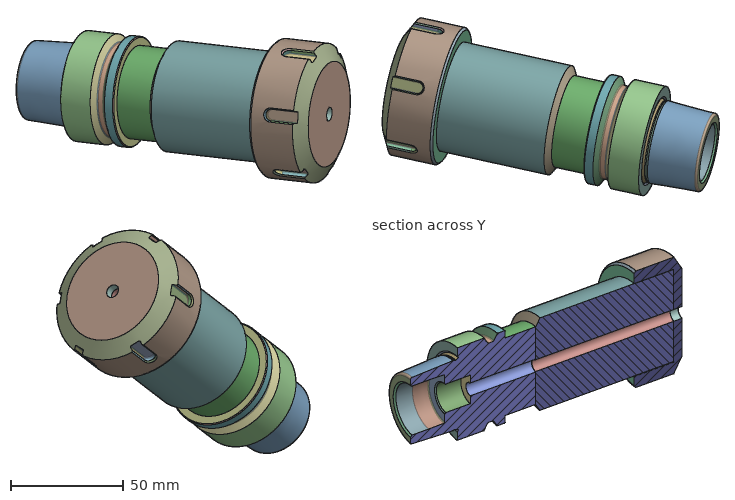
import cadquery as cq
import math


TAPER_END = 22.7
FLANGE_START = 25.0
GRIPPER_GROOVE_START = 39.4
GRIPPER_GROOVE_END = 46.4
FLANGE_END = 50.7
SHANK_END = 66.8
BODY_FULL_START = 69.1
NUT_START = 119.3
NUT_CONE_START = 140.5
NUT_END = 144.9

MAIN_RADIUS = 50.0 / 2
NECK_RADIUS = 21.0
COOLANT_RADIUS = 3.3
OUTLET_RADIUS = 3.0

TAPER_TIP_RADIUS = 18.0
TAPER_BASE_RADIUS = 19.0
TIP_ROUND = 1.0

UNDERCUT_RADIUS = 18.7
UNDERCUT_START = 23.6
UNDERCUT_END = 24.2
RECESS_DEPTH = 0.6
RECESS_FLOOR_RADIUS = 19.4
RECESS_RADIUS = 20.3

GROOVE_FLOOR_RADIUS = 21.5
GROOVE_FLANK_ANGLE = 60.0
GROOVE_FILLET = 0.6
FLANGE_CHAMFER = 0.5

BORE_RADIUS = 13.0
BORE_CHAMFER = 0.9
BORE_CONE_START = 9.7
BORE_END_RADIUS = 12.9
BORE_DEPTH = 18.3
BORE_END_FILLET = 0.5
TUBE_BORE_RADIUS = 7.5
TUBE_BORE_CHAMFER = 0.6
TUBE_BORE_DEPTH = 31.9

NUT_RADIUS = 31.5
NUT_FACE_RADIUS = 23.8
NUT_CHAMFER = 1.0

SLOT_COUNT = 6
SLOT_HALF_WIDTH = 2.6
SLOT_EDGE_CHAMFER = 0.7
SLOT_FLOOR_FILLET = 0.3
SLOT_ROUND_CENTRE = 129.7
SLOT_FLOOR_RADIUS = 29.0
FIRST_SLOT_ANGLE = 10.4


def revolve_profile(profile):
    """Turn a closed profile, drawn as X along and Y outward, about the X axis."""
    return profile.close().revolve(360, (0, 0, 0), (1, 0, 0))


def make_shank():
    round_middle = TIP_ROUND * (1 - math.sqrt(0.5))
    end_middle = BORE_END_FILLET * (1 - math.sqrt(0.5))
    flank_length = (MAIN_RADIUS - GROOVE_FLOOR_RADIUS) / math.tan(math.radians(GROOVE_FLANK_ANGLE))
    groove_floor_start = GRIPPER_GROOVE_START + flank_length
    groove_floor_end = GRIPPER_GROOVE_END - flank_length
    outline = (
        cq.Workplane("XZ")
        .moveTo(0, BORE_RADIUS + BORE_CHAMFER)
        .lineTo(0, TAPER_TIP_RADIUS - TIP_ROUND)
        .threePointArc((round_middle, TAPER_TIP_RADIUS - round_middle), (TIP_ROUND, TAPER_TIP_RADIUS))
        .lineTo(TAPER_END, TAPER_BASE_RADIUS)
        .lineTo(UNDERCUT_START, UNDERCUT_RADIUS)
        .lineTo(UNDERCUT_END, UNDERCUT_RADIUS)
        .lineTo(FLANGE_START + RECESS_DEPTH, RECESS_FLOOR_RADIUS)
        .lineTo(FLANGE_START, RECESS_RADIUS)
        .lineTo(FLANGE_START, MAIN_RADIUS)
        .lineTo(GRIPPER_GROOVE_START, MAIN_RADIUS)
        .lineTo(groove_floor_start, GROOVE_FLOOR_RADIUS)
        .lineTo(groove_floor_end, GROOVE_FLOOR_RADIUS)
        .lineTo(GRIPPER_GROOVE_END, MAIN_RADIUS)
        .lineTo(FLANGE_END - FLANGE_CHAMFER, MAIN_RADIUS)
        .lineTo(FLANGE_END, MAIN_RADIUS - FLANGE_CHAMFER)
        .lineTo(FLANGE_END, NECK_RADIUS)
        .lineTo(SHANK_END, NECK_RADIUS)
        .lineTo(SHANK_END, COOLANT_RADIUS)
        .lineTo(TUBE_BORE_DEPTH, COOLANT_RADIUS)
        .lineTo(TUBE_BORE_DEPTH, TUBE_BORE_RADIUS)
        .lineTo(BORE_DEPTH + TUBE_BORE_CHAMFER, TUBE_BORE_RADIUS)
        .lineTo(BORE_DEPTH, TUBE_BORE_RADIUS + TUBE_BORE_CHAMFER)
        .lineTo(BORE_DEPTH, BORE_END_RADIUS - BORE_END_FILLET)
        .threePointArc(
            (BORE_DEPTH - end_middle, BORE_END_RADIUS - end_middle),
            (BORE_DEPTH - BORE_END_FILLET, BORE_END_RADIUS),
        )
        .lineTo(BORE_CONE_START, BORE_RADIUS)
        .lineTo(BORE_CHAMFER, BORE_RADIUS)
    )
    floor_edges = cq.selectors.BoxSelector(
        (groove_floor_start - GROOVE_FILLET, -MAIN_RADIUS, -MAIN_RADIUS),
        (groove_floor_end + GROOVE_FILLET, MAIN_RADIUS, MAIN_RADIUS),
        boundingbox=True,
    )
    return revolve_profile(outline).edges("%CIRCLE").edges(floor_edges).fillet(GROOVE_FILLET)


def make_body():
    outline = (
        cq.Workplane("XY")
        .moveTo(SHANK_END, -OUTLET_RADIUS)
        .lineTo(SHANK_END, -NECK_RADIUS)
        .lineTo(BODY_FULL_START, -MAIN_RADIUS)
        .lineTo(NUT_CONE_START, -MAIN_RADIUS)
        .lineTo(NUT_CONE_START, -OUTLET_RADIUS)
    )
    return revolve_profile(outline)


def slot_outline(radius, half_width):
    """Slot with a round end, on a plane that lies `radius` from the axis on the -Y side."""
    round_end = SLOT_ROUND_CENTRE - half_width
    return (
        cq.Workplane("XZ", origin=(0, -radius, 0))
        .moveTo(NUT_END, half_width)
        .lineTo(SLOT_ROUND_CENTRE, half_width)
        .threePointArc((round_end, 0), (SLOT_ROUND_CENTRE, -half_width))
        .lineTo(NUT_END, -half_width)
        .close()
    )


def make_slot_cutter():
    """Straight-walled slot whose mouth is widened by a chamfer."""
    chamfer_bottom = NUT_RADIUS - SLOT_EDGE_CHAMFER
    straight = slot_outline(SLOT_FLOOR_RADIUS, SLOT_HALF_WIDTH).extrude(NUT_RADIUS - SLOT_FLOOR_RADIUS)
    straight = straight.faces(">Y").edges("not >X").fillet(SLOT_FLOOR_FILLET)
    mouth = slot_outline(chamfer_bottom, SLOT_HALF_WIDTH).extrude(2 * SLOT_EDGE_CHAMFER, taper=-45)
    return straight.union(mouth)


def make_nut():
    outline = (
        cq.Workplane("XY")
        .moveTo(NUT_START, -MAIN_RADIUS)
        .lineTo(NUT_START, -(NUT_RADIUS - NUT_CHAMFER))
        .lineTo(NUT_START + NUT_CHAMFER, -NUT_RADIUS)
        .lineTo(NUT_CONE_START, -NUT_RADIUS)
        .lineTo(NUT_END, -NUT_FACE_RADIUS)
        .lineTo(NUT_END, -OUTLET_RADIUS)
        .lineTo(NUT_CONE_START, -OUTLET_RADIUS)
        .lineTo(NUT_CONE_START, -MAIN_RADIUS)
    )
    pitch = 360 / SLOT_COUNT
    nut = revolve_profile(outline)
    cutter = make_slot_cutter()
    for index in range(SLOT_COUNT):
        nut = nut.cut(cutter.rotate((0, 0, 0), (1, 0, 0), (index + 0.5) * pitch))
    return nut.rotate((0, 0, 0), (1, 0, 0), pitch / 2 - FIRST_SLOT_ANGLE)


shank = make_shank()
body = make_body()
nut = make_nut()

result = cq.Compound.makeCompound([shank.val(), body.val(), nut.val()])